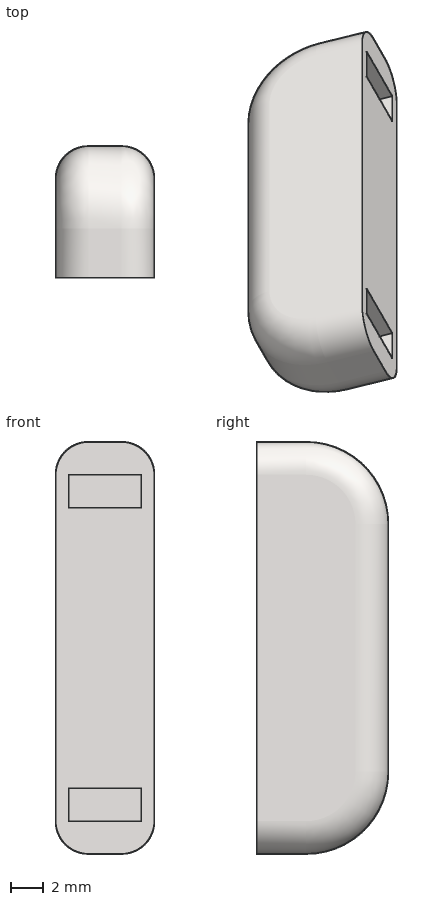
import cadquery as cq

width = 6.0
depth = 8.0
height = 25.0

back_corner_radius = 5.0
edge_radius = 2.0

slot_width = 4.4
slot_height = 2.0
slot_depth = 3.0
slot_end_margin = 2.0


def make_body():
    """Bar with a flat front face and a back that curves round at both ends."""
    block = cq.Workplane("XY").box(width, depth, height, centered=(True, False, True))
    rounded = block.edges("|X and >Y").fillet(back_corner_radius)
    side_outline = rounded.faces("<X or >X").edges("not <Y")
    return side_outline.fillet(edge_radius)


def make_slot(center_z):
    """Rectangular cutter reaching in from the front face."""
    cutter = cq.Workplane("XY").box(slot_width, slot_depth, slot_height, centered=(True, False, True))
    return cutter.translate((0, 0, center_z))


slot_offset = height / 2 - slot_end_margin - slot_height / 2

result = make_body()
for side in (-1, 1):
    result = result.cut(make_slot(side * slot_offset))